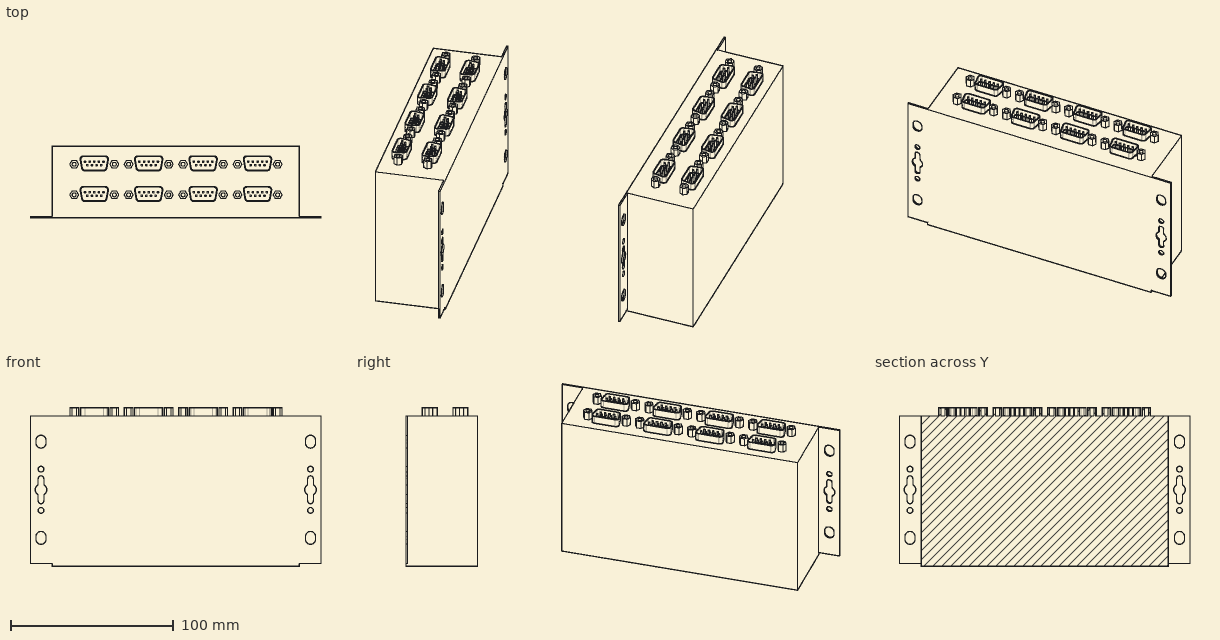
import cadquery as cq
import math

BODY_WIDTH = 152.2
BODY_DEPTH = 44.25
BODY_HEIGHT = 92.65

PLATE_WIDTH = 178.85
PLATE_THICKNESS = 1.0
PLATE_BOTTOM_STEP = 1.6
PLATE_HEIGHT = BODY_HEIGHT - PLATE_BOTTOM_STEP

EAR_HOLE_INSET = 6.5
EAR_HOLE_X = PLATE_WIDTH / 2 - EAR_HOLE_INSET
PLATE_MID_Z = PLATE_BOTTOM_STEP + PLATE_HEIGHT / 2
SLOT_WIDTH = 6.04
SLOT_LENGTH = 7.8
SLOT_OFFSET_Z = 29.6
SMALL_HOLE_DIAMETER = 3.4
SMALL_HOLE_OFFSET_Z = 12.7
KEYHOLE_DIAMETER = 7.0
KEYHOLE_SLOT_WIDTH = SMALL_HOLE_DIAMETER
KEYHOLE_SLOT_LENGTH = 17.0

CONNECTOR_COLUMNS = 4
CONNECTOR_ROWS = 2
CONNECTOR_COLUMN_PITCH = 33.5
CONNECTOR_ROW_PITCH = 18.85
CONNECTOR_FRONT_ROW_Y = 14.75
CONNECTOR_GRID_CENTER_X = 0.1
CONNECTOR_HEIGHT = 5.0

SHELL_WALL = 0.5
SHELL_DEPTH = 9.3
SHELL_WIDTH = 17.5
SHELL_CORNER_RADIUS = 2.1
SHELL_SIDE_SLOPE = 10.0

PIN_DIAMETER = 1.0
PIN_HEIGHT = CONNECTOR_HEIGHT
PIN_PITCH = 2.85
PIN_ROW_PITCH = 2.2
BACK_ROW_PINS = 5
FRONT_ROW_PINS = 4

POST_SPACING = 24.7
POST_SIDES = 6
POST_ACROSS_FLATS = 4.7
POST_HOLE_DIAMETER = 2.45
POST_OFFSET_Y = -0.55


def make_enclosure():
    """Solid box body with the mounting plate across its front."""
    body = cq.Workplane("XY").box(BODY_WIDTH, BODY_DEPTH, BODY_HEIGHT, centered=(True, False, False))
    plate = (
        cq.Workplane("XY")
        .box(PLATE_WIDTH, PLATE_THICKNESS, PLATE_HEIGHT, centered=(True, False, False))
        .translate((0, 0, PLATE_BOTTOM_STEP))
    )
    return body.union(plate)


def make_ear_openings(x):
    """Cutters for one ear: two slots, two round holes and a double-ended keyhole."""

    def sketch(offset_z):
        return cq.Workplane("XZ").center(x, PLATE_MID_Z + offset_z)

    keyhole_slot = sketch(0).slot2D(KEYHOLE_SLOT_LENGTH, KEYHOLE_SLOT_WIDTH, 90).extrude(-PLATE_THICKNESS)
    openings = sketch(0).circle(KEYHOLE_DIAMETER / 2).extrude(-PLATE_THICKNESS).union(keyhole_slot)
    for side in (-1, 1):
        slot = sketch(side * SLOT_OFFSET_Z).slot2D(SLOT_LENGTH, SLOT_WIDTH, 90)
        hole = sketch(side * SMALL_HOLE_OFFSET_Z).circle(SMALL_HOLE_DIAMETER / 2)
        openings = openings.union(slot.extrude(-PLATE_THICKNESS)).union(hole.extrude(-PLATE_THICKNESS))
    return openings


def make_shell_prism(inset):
    """D-shaped prism whose outline lies `inset` inside the outside of the shell."""
    slope = math.radians(SHELL_SIDE_SLOPE)
    half_depth = SHELL_DEPTH / 2 - inset
    radius = SHELL_CORNER_RADIUS - inset
    back_corner_turn = math.pi / 2 + slope
    half_back = SHELL_WIDTH / 2 - inset - radius + radius * math.tan(back_corner_turn / 2)
    half_front = half_back - 2 * half_depth * math.tan(slope)
    corners = [
        (-half_back, half_depth),
        (half_back, half_depth),
        (half_front, -half_depth),
        (-half_front, -half_depth),
    ]
    return cq.Workplane("XY").polyline(corners).close().extrude(CONNECTOR_HEIGHT).edges("|Z").fillet(radius)


def make_pins():
    """Both pin rows of one connector, centred on the origin, as separate cylinders."""
    pins = cq.Workplane("XY")
    for count, y in ((BACK_ROW_PINS, PIN_ROW_PITCH / 2), (FRONT_ROW_PINS, -PIN_ROW_PITCH / 2)):
        for index in range(count):
            x = (index - (count - 1) / 2) * PIN_PITCH
            pins = pins.add(cq.Workplane("XY").center(x, y).circle(PIN_DIAMETER / 2).extrude(PIN_HEIGHT))
    return pins


def make_post():
    """One hexagonal post, bored through, with two of its flats facing front and back."""
    across_corners = POST_ACROSS_FLATS / math.cos(math.pi / POST_SIDES)
    hexagon = cq.Workplane("XY").polygon(POST_SIDES, across_corners)
    return hexagon.circle(POST_HOLE_DIAMETER / 2).extrude(CONNECTOR_HEIGHT)


def make_connector():
    """Shell, pins and posts of one connector, standing on Z = 0 with the shell centred on the origin."""
    connector = make_shell_prism(0).cut(make_shell_prism(SHELL_WALL)).add(make_pins())
    for side in (-1, 1):
        connector = connector.add(make_post().translate((side * POST_SPACING / 2, POST_OFFSET_Y, 0)))
    return connector


def connector_positions():
    """Shell centres of all connectors on the top face."""
    first_x = CONNECTOR_GRID_CENTER_X - (CONNECTOR_COLUMNS - 1) / 2 * CONNECTOR_COLUMN_PITCH
    return [
        cq.Vector(
            first_x + column * CONNECTOR_COLUMN_PITCH,
            CONNECTOR_FRONT_ROW_Y + row * CONNECTOR_ROW_PITCH,
            BODY_HEIGHT,
        )
        for row in range(CONNECTOR_ROWS)
        for column in range(CONNECTOR_COLUMNS)
    ]


result = make_enclosure()
for ear_side in (-1, 1):
    result = result.cut(make_ear_openings(ear_side * EAR_HOLE_X))

connector = make_connector()
for position in connector_positions():
    for piece in connector.vals():
        result = result.union(cq.Workplane(piece.translate(position)))